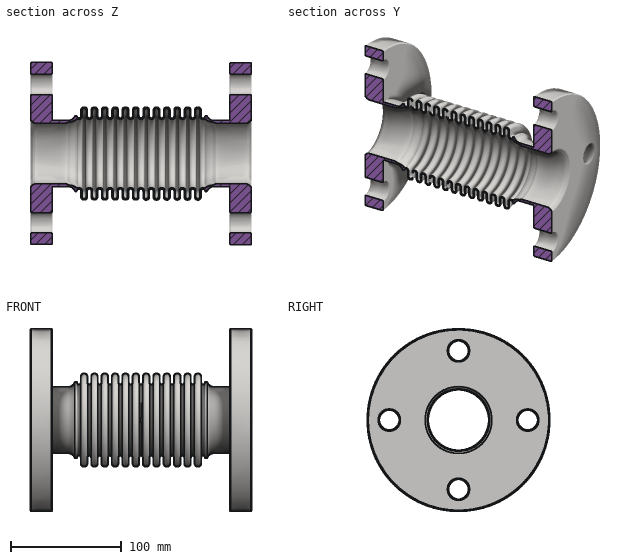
import cadquery as cq
import math

length = 200.0

flange_diameter = 165.0
flange_thickness = 20.0
flange_chamfer = 1.0
bolt_circle_diameter = 125.0
bolt_hole_diameter = 18.0
bolt_hole_count = 4
bolt_hole_chamfer = 1.0

pipe_radius = 60.3 / 2
bore_radius = 54.5 / 2
mouth_radius = 56.3 / 2
mouth_bevel_length = 2.0
pipe_end_depth = 34.5

weld_rim_width = 1.0
weld_rim_depth = 0.3

crest_count = 12
pitch = 9.34
wall = 1.5
crest_radius = 42.2
valley_radius = 32.2

lip_bend = 1.3
lip_to_valley_angle = math.radians(80)
lip_weld_angle = math.radians(45)

inner_flare_angle = math.radians(30)

wide_bend = pitch / 4 + wall / 2
tight_bend = pitch / 4 - wall / 2

face_x = -length / 2
flange_back_x = face_x + flange_thickness
weld_rim_x = face_x + weld_rim_depth
weld_root_x = weld_rim_x + pipe_radius - mouth_radius
pipe_end_x = face_x + pipe_end_depth
half_crest_count = crest_count // 2
first_valley_x = -half_crest_count * pitch


def point_on_bend(centre, bend, angle):
    """Point on a bend, with the angle measured from the +radial direction toward +X."""
    return (centre[0] + bend * math.sin(angle), centre[1] + bend * math.cos(angle))


def flare_middle(start, end):
    """Middle of the arc that leaves start parallel to the axis and rises to end."""
    run = end[0] - start[0]
    rise = end[1] - start[1]
    arc_radius = (run ** 2 + rise ** 2) / (2 * rise)
    half_sweep = math.atan2(rise, run)
    return point_on_bend((start[0], start[1] + arc_radius), -arc_radius, -half_sweep)


def add_convolutions(profile, start_x, direction, crest_top, valley_floor, crest_bend, valley_bend):
    """Run from the valley floor at start_x over half of the crests, toward +X or -X."""
    crest_centre = crest_top - crest_bend
    valley_centre = valley_floor + valley_bend
    half_bend = direction * math.radians(135)
    for i in range(half_crest_count):
        valley_x = start_x + direction * i * pitch
        crest_x = valley_x + direction * pitch / 2
        next_valley_x = valley_x + direction * pitch
        profile = (
            profile
            .threePointArc(
                point_on_bend((valley_x, valley_centre), valley_bend, half_bend),
                (valley_x + direction * valley_bend, valley_centre),
            )
            .lineTo(crest_x - direction * crest_bend, crest_centre)
            .threePointArc((crest_x, crest_top), (crest_x + direction * crest_bend, crest_centre))
            .lineTo(next_valley_x - direction * valley_bend, valley_centre)
            .threePointArc(
                point_on_bend((next_valley_x, valley_centre), valley_bend, -half_bend),
                (next_valley_x, valley_floor),
            )
        )
    return profile


def add_flange(profile):
    """Flange outline from the weld rim, over the flange's edge, to the pipe behind it."""
    rim = flange_diameter / 2
    return (
        profile
        .moveTo(face_x, pipe_radius + weld_rim_width)
        .lineTo(face_x, rim - flange_chamfer)
        .lineTo(face_x + flange_chamfer, rim)
        .lineTo(flange_back_x - flange_chamfer, rim)
        .lineTo(flange_back_x, rim - flange_chamfer)
        .lineTo(flange_back_x, pipe_radius)
    )


def add_outer_skin(profile):
    """Outside of the pipe, the weld flare, the lip and the convolutions up to x = 0."""
    pipe_end = (pipe_end_x, pipe_radius)
    valley_centre = (first_valley_x, valley_radius + tight_bend)
    lip_end_angle = math.pi + lip_to_valley_angle
    lip_centre = point_on_bend(valley_centre, tight_bend + lip_bend, lip_end_angle)
    lip_start = point_on_bend(lip_centre, lip_bend, -lip_weld_angle)
    lip_end = point_on_bend(valley_centre, tight_bend, lip_end_angle)
    valley_mid = point_on_bend(valley_centre, tight_bend, math.pi + lip_to_valley_angle / 2)
    profile = (
        profile
        .lineTo(*pipe_end)
        .threePointArc(flare_middle(pipe_end, lip_start), lip_start)
        .threePointArc((lip_centre[0], lip_centre[1] + lip_bend), lip_end)
        .threePointArc(valley_mid, (first_valley_x, valley_radius))
    )
    return add_convolutions(
        profile, first_valley_x, 1, crest_radius, valley_radius, wide_bend, tight_bend
    )


def add_inner_skin(profile):
    """Inside of the convolutions from x = 0 back to the bore and the weld at the flange."""
    inner_valley = valley_radius - wall
    valley_centre = (first_valley_x, inner_valley + wide_bend)
    flare_top = point_on_bend(valley_centre, wide_bend, math.pi + inner_flare_angle)
    valley_mid = point_on_bend(valley_centre, wide_bend, math.pi + inner_flare_angle / 2)
    pipe_end = (pipe_end_x, mouth_radius)
    profile = add_convolutions(
        profile.lineTo(0, inner_valley),
        0, -1, crest_radius - wall, inner_valley, tight_bend, wide_bend,
    )
    return (
        profile
        .threePointArc(valley_mid, flare_top)
        .threePointArc(flare_middle(pipe_end, flare_top), pipe_end)
        .lineTo(pipe_end_x - mouth_bevel_length, bore_radius)
        .lineTo(weld_root_x + mouth_bevel_length, bore_radius)
        .lineTo(weld_root_x, mouth_radius)
        .lineTo(weld_rim_x, pipe_radius)
    )


def make_bolt_holes():
    """Cutters for the bolt holes, chamfered at both flange faces."""
    hole_radius = bolt_hole_diameter / 2
    hole_mouth = hole_radius + bolt_hole_chamfer
    cutter = (
        cq.Workplane("XY")
        .moveTo(face_x, 0)
        .lineTo(face_x, hole_mouth)
        .lineTo(face_x + bolt_hole_chamfer, hole_radius)
        .lineTo(flange_back_x - bolt_hole_chamfer, hole_radius)
        .lineTo(flange_back_x, hole_mouth)
        .lineTo(flange_back_x, 0)
        .close()
        .revolve(360, (0, 0, 0), (1, 0, 0))
        .translate((0, 0, bolt_circle_diameter / 2))
    )
    cutters = cq.Workplane("XY")
    for i in range(bolt_hole_count):
        cutters = cutters.add(cutter.rotate((0, 0, 0), (1, 0, 0), i * 360 / bolt_hole_count))
    return cutters.combine()


def make_half():
    """The -X half: flange, pipe stub and half of the bellows, all in one wall section."""
    profile = add_flange(cq.Workplane("XY"))
    profile = add_outer_skin(profile)
    profile = add_inner_skin(profile)
    body = profile.close().revolve(360, (0, 0, 0), (1, 0, 0))
    return body.cut(make_bolt_holes())


half = make_half()
result = half.union(half.rotate((0, 0, 0), (0, 0, 1), 180))